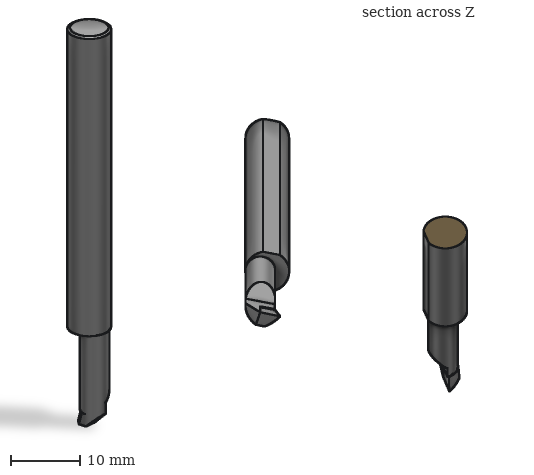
import cadquery as cq
import math

overall_length = 63.49

shank_diameter = 6.35
shank_radius = shank_diameter / 2
shank_length = 48.2
flat_depth = 0.25
chamfer_inset = 0.4
chamfer_height = 0.25

neck_radius = 2.15
neck_center_x = shank_radius - neck_radius
relief_start = 9.1
relief_end = relief_start + neck_radius

neck_length = 13.0
tip_x = -1.9
head_top_x = -1.3
side_clearance = 1.75
side_bulge = 0.15
end_clearance = 0.2
rake_depth = 0.15

shoulder_z = overall_length - shank_length
head_top_z = shoulder_z - neck_length
corner_z = head_top_z - neck_radius


def make_shank():
    """Round shank with a bevelled end and a full-length flat on the +Y side."""
    profile = [
        (0, shoulder_z),
        (shank_radius, shoulder_z),
        (shank_radius, overall_length - chamfer_height),
        (shank_radius - chamfer_inset, overall_length),
        (0, overall_length),
    ]
    shank = cq.Workplane("XZ").polyline(profile).close().revolve(360, (0, 0, 0), (0, 1, 0))
    flat_y = shank_radius - flat_depth
    flat_cutter = (
        cq.Workplane("XY", origin=(0, flat_y, 0))
        .box(shank_diameter, shank_diameter, overall_length, centered=(True, False, False))
    )
    return shank.cut(flat_cutter)


def make_neck():
    """Offset round neck, halved at y = 0 near the tip, with a 45 degree bevel on the +X side."""
    neck = (
        cq.Workplane("XY")
        .center(neck_center_x, 0)
        .circle(neck_radius)
        .extrude(shoulder_z)
    )
    relief_profile = [
        (0, 0),
        (neck_radius, 0),
        (neck_radius, shoulder_z - relief_start),
        (0, shoulder_z - relief_end),
    ]
    relief = (
        cq.Workplane("YZ")
        .polyline(relief_profile)
        .close()
        .extrude(shank_radius, both=True)
    )
    outline = [
        (neck_center_x, corner_z),
        (shank_radius, head_top_z),
        (shank_radius, shoulder_z),
        (neck_center_x - neck_radius, shoulder_z),
        (neck_center_x - neck_radius, head_top_z),
        (neck_center_x, head_top_z),
    ]
    envelope = cq.Workplane("XZ").polyline(outline).close().extrude(neck_radius, both=True)
    return neck.cut(relief).intersect(envelope)


def head_section(z, edge_x):
    """Level outline of the head at height z, with a bowed clearance side that starts at edge_x."""
    clearance_end_x = edge_x + side_clearance
    chord = math.hypot(side_clearance, neck_radius)
    bow_point = (
        edge_x + side_clearance / 2 - side_bulge * neck_radius / chord,
        -neck_radius / 2 - side_bulge * side_clearance / chord,
    )
    outline = (
        cq.Workplane("XY", origin=(0, 0, z))
        .moveTo(edge_x, 0)
        .threePointArc(bow_point, (clearance_end_x, -neck_radius))
        .lineTo(neck_center_x, -neck_radius)
        .lineTo(neck_center_x, 0)
        .close()
    )
    return outline.wire().val()


def below_end_face(y, rise):
    """Outline at depth y of the material below the end face, lifted there by rise."""
    end_slope = corner_z / (neck_center_x - tip_x)
    far_z = end_slope * (shank_radius - tip_x) + rise
    points = [
        (tip_x, rise),
        (shank_radius, far_z),
        (shank_radius, -neck_radius),
        (tip_x, -neck_radius),
    ]
    return cq.Wire.makePolygon([cq.Vector(x, y, z) for x, z in points], close=True)


def make_end_cutter():
    """Material below the end face, which rises from the tip toward +X and toward -Y."""
    rake_side = below_end_face(0, 0)
    front_side = below_end_face(-neck_radius, end_clearance)
    return cq.Workplane(cq.Solid.makeLoft([rake_side, front_side], True))


def make_rake_cutter():
    """Thin wedge that sinks the rake face from the tip up to the head top."""
    profile = [(0, 0), (0, head_top_z), (-rake_depth, head_top_z)]
    wedge = cq.Workplane("YZ", origin=(tip_x, 0, 0)).polyline(profile).close()
    return wedge.extrude(neck_center_x - tip_x)


def make_head():
    """Cutting head with a bowed clearance side and a sunken rake face."""
    bottom = head_section(0, tip_x)
    top = head_section(head_top_z, head_top_x)
    block = cq.Workplane(cq.Solid.makeLoft([bottom, top], True))
    return block.cut(make_rake_cutter())


bar = make_shank().union(make_neck()).union(make_head())
result = bar.cut(make_end_cutter())